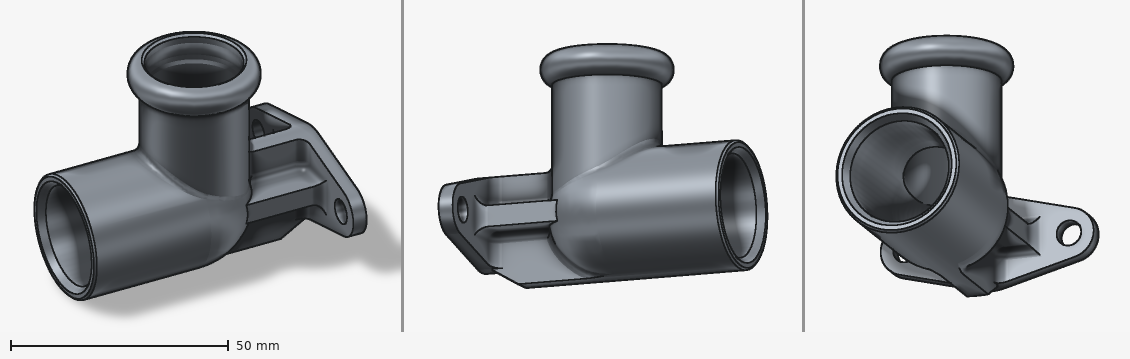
import cadquery as cq
import math


pipe_radius = 30.0 / 2
pipe_bore_radius = 24.1 / 2
pipe_mouth_radius = 26.8 / 2
bore_dome_end_y = 10.45
pipe_mouth_depth = 1.75
pipe_rim_chamfer = 0.5
pipe_end_y = -33.9
bend_start_y = -3.6
pipe_dome_end_y = 13.3

socket_radius = 25.3 / 2
socket_lip_radius = 24.1 / 2
socket_throat_radius = 22.9 / 2
socket_bore_radius = 22.3 / 2
passage_radius = 19.9 / 2
socket_top_z = 37.95
socket_depth = 19.5
passage_bottom_z = 3.25
bead_radius = 30.75 / 2
bead_height = 7.4
bead_edge_radius = socket_lip_radius
lip_chamfer_depth = 0.65
ridge_top_depth = 2.3
ridge_bottom_depth = 5.4
ridge_radius = 22.3 / 2
throat_depth = 6.7
bore_taper_depth = 7.6

plate_back_y = 31.1
plate_thickness = 3.5
plate_front_y = plate_back_y - plate_thickness
plate_radius = 11.05
lug_radius = 6.05
lug_offset_x = 19.95
lug_hole_diameter = 6.0

upright_rib_thickness = 5.2
flat_rib_thickness = 4.95
flat_rib_width = 21.6
flat_rib_front_y = 7.55
rib_foot_y = 20.8
rib_blank_depth = 1.5 * pipe_radius
rib_fillet = 2.5
tube_fillet = 1.95


def pipe_axis_solid(profile):
    """Revolve a closed (radius, y) profile about the Y axis."""
    return profile.close().revolve(360, (0, 0, 0), (0, 1, 0))


def domed_rod(radius, start_y, dome_end_y):
    """Round rod along Y that closes in a half-ellipsoid beginning at bend_start_y."""
    dome_length = dome_end_y - bend_start_y
    middle = (radius * math.sqrt(0.5), bend_start_y + dome_length * math.sqrt(0.5))
    profile = (
        cq.Workplane("XY")
        .moveTo(0, start_y)
        .lineTo(radius, start_y)
        .lineTo(radius, bend_start_y)
        .spline(
            [middle, (0, dome_end_y)],
            tangents=[(0, 1), (-1, 0)],
            includeCurrent=True,
        )
    )
    return pipe_axis_solid(profile)


def make_elbow():
    pipe = domed_rod(pipe_radius, pipe_end_y, pipe_dome_end_y)
    socket = cq.Workplane("XY").circle(socket_radius).extrude(socket_top_z - bead_height / 2)
    return pipe.union(socket)


def make_bead():
    bottom_z = socket_top_z - bead_height
    return (
        cq.Workplane("XZ")
        .moveTo(0, bottom_z)
        .lineTo(bead_edge_radius, bottom_z)
        .threePointArc(
            (bead_radius, socket_top_z - bead_height / 2),
            (bead_edge_radius, socket_top_z),
        )
        .lineTo(0, socket_top_z)
        .close()
        .revolve(360, (0, 0, 0), (0, 1, 0))
    )


def sketch_facing_plate(y):
    """Sketch plane facing +Y at the given y: local x is -X and local y is Z."""
    return cq.Workplane(cq.Plane((0, y, 0), (-1, 0, 0), (0, 1, 0)))


def plate_prism(front_y):
    """Plate outline extruded from front_y to the back of the plate."""
    flank_sine = (plate_radius - lug_radius) / lug_offset_x
    flank_cosine = math.sqrt(1 - flank_sine**2)
    disc_x = plate_radius * flank_sine
    disc_z = plate_radius * flank_cosine
    lug_x = lug_offset_x + lug_radius * flank_sine
    lug_z = lug_radius * flank_cosine
    tip_x = lug_offset_x + lug_radius
    return (
        sketch_facing_plate(front_y)
        .moveTo(-disc_x, disc_z)
        .threePointArc((0, plate_radius), (disc_x, disc_z))
        .lineTo(lug_x, lug_z)
        .threePointArc((tip_x, 0), (lug_x, -lug_z))
        .lineTo(disc_x, -disc_z)
        .threePointArc((0, -plate_radius), (-disc_x, -disc_z))
        .lineTo(-lug_x, -lug_z)
        .threePointArc((-tip_x, 0), (-lug_x, lug_z))
        .close()
        .extrude(plate_back_y - front_y)
    )


def make_ribbed_plate():
    """Plate and cross ribs: filleted as an oversize blank, then trimmed to the plate outline."""
    slab_width = 2 * (lug_offset_x + lug_radius)
    slab_height = 4 * plate_radius
    rib_length = plate_front_y - flat_rib_front_y
    sketch = sketch_facing_plate(flat_rib_front_y)
    flat_rib = sketch.rect(flat_rib_width, flat_rib_thickness).extrude(rib_length)
    upright_rib = sketch.rect(upright_rib_thickness, slab_height).extrude(rib_length)
    slab = sketch_facing_plate(plate_front_y).rect(slab_width, slab_height).extrude(plate_thickness)

    inner_corners = cq.selectors.BoxSelector(
        (-upright_rib_thickness, flat_rib_front_y, -flat_rib_thickness),
        (upright_rib_thickness, plate_front_y, flat_rib_thickness),
    )
    plate_roots = cq.selectors.BoxSelector(
        (-flat_rib_width, plate_front_y - rib_fillet / 2, -slab_height / 2 + rib_fillet),
        (flat_rib_width, plate_front_y + rib_fillet / 2, slab_height / 2 - rib_fillet),
    )
    blank = flat_rib.union(upright_rib)
    blank = blank.edges("|Y").edges(inner_corners).fillet(rib_fillet)
    blank = blank.union(slab).edges(plate_roots).fillet(rib_fillet)
    return blank.intersect(plate_prism(flat_rib_front_y))


def make_upright_rib_blank():
    """Web under the whole pipe, deeper than the pipe, with a crest that follows the plate edge."""
    web = (
        cq.Workplane("YZ")
        .moveTo(plate_front_y, 0)
        .lineTo(plate_front_y, -plate_radius)
        .lineTo(rib_foot_y, -pipe_radius)
        .lineTo(rib_foot_y, -rib_blank_depth)
        .lineTo(pipe_end_y, -rib_blank_depth)
        .lineTo(pipe_end_y, 0)
        .close()
        .extrude(upright_rib_thickness / 2, both=True)
    )
    crest = (
        cq.Workplane("XY")
        .rect(upright_rib_thickness, 2 * plate_front_y)
        .extrude(plate_radius)
        .intersect(plate_prism(0))
    )
    return web.union(crest)


def trim_underside(blank):
    """Cut away everything below the round underside of the pipe."""
    length = plate_back_y - pipe_end_y
    below = sketch_facing_plate(pipe_end_y).rect(2 * pipe_radius, 4 * rib_blank_depth).extrude(length)
    below = below.intersect(cq.Workplane("XY").box(130, 130, 130).translate((0, 0, -65)))
    pipe_envelope = sketch_facing_plate(pipe_end_y).circle(pipe_radius).extrude(length)
    return blank.cut(below.cut(pipe_envelope))


def cut_passages(body):
    pipe_bore = domed_rod(pipe_bore_radius, pipe_end_y, bore_dome_end_y)
    mouth = pipe_axis_solid(
        cq.Workplane("XY")
        .moveTo(0, pipe_end_y)
        .lineTo(pipe_mouth_radius, pipe_end_y)
        .lineTo(pipe_bore_radius, pipe_end_y + pipe_mouth_depth)
        .lineTo(0, pipe_end_y + pipe_mouth_depth)
    )
    ridge_middle_z = socket_top_z - (ridge_top_depth + ridge_bottom_depth) / 2
    socket_bore = (
        cq.Workplane("XZ")
        .moveTo(0, socket_top_z)
        .lineTo(socket_lip_radius, socket_top_z)
        .lineTo(socket_throat_radius, socket_top_z - lip_chamfer_depth)
        .lineTo(socket_throat_radius, socket_top_z - ridge_top_depth)
        .threePointArc(
            (ridge_radius, ridge_middle_z),
            (socket_throat_radius, socket_top_z - ridge_bottom_depth),
        )
        .lineTo(socket_throat_radius, socket_top_z - throat_depth)
        .lineTo(socket_bore_radius, socket_top_z - bore_taper_depth)
        .lineTo(socket_bore_radius, socket_top_z - socket_depth)
        .lineTo(passage_radius, socket_top_z - socket_depth)
        .lineTo(passage_radius, passage_bottom_z)
        .lineTo(0, passage_bottom_z)
        .close()
        .revolve(360, (0, 0, 0), (0, 1, 0))
    )
    return body.cut(pipe_bore.union(mouth).union(socket_bore))


def cut_lug_holes(body):
    holes = (
        sketch_facing_plate(plate_front_y)
        .pushPoints([(-lug_offset_x, 0), (lug_offset_x, 0)])
        .circle(lug_hole_diameter / 2)
        .extrude(plate_thickness)
    )
    return body.cut(holes)


def fillet_tube_seam(elbow):
    """Blend the seam between socket and pipe."""
    tube_seam = cq.selectors.BoxSelector(
        (-pipe_radius, -pipe_radius, 0.65),
        (pipe_radius, pipe_radius, pipe_radius + 0.65),
        boundingbox=True,
    )
    return elbow.edges(tube_seam).fillet(tube_fillet)


def fillet_rib_seam(elbow_with_rib):
    """Blend the seam of the upright rib along the pipe, its domed end and the socket."""
    half_rib = upright_rib_thickness / 2
    rib_side_seam = cq.selectors.BoxSelector(
        (-half_rib - 0.05, 0, -pipe_radius),
        (half_rib + 0.05, pipe_dome_end_y, plate_radius),
    )
    return elbow_with_rib.edges(rib_side_seam).fillet(tube_fillet)


elbow = fillet_tube_seam(make_elbow())
ribbed_blank = fillet_rib_seam(elbow.union(make_upright_rib_blank()))
ribbed_elbow = trim_underside(ribbed_blank).faces("<Y").chamfer(pipe_rim_chamfer)
body = ribbed_elbow.union(make_ribbed_plate()).union(make_bead())
result = cut_lug_holes(cut_passages(body))